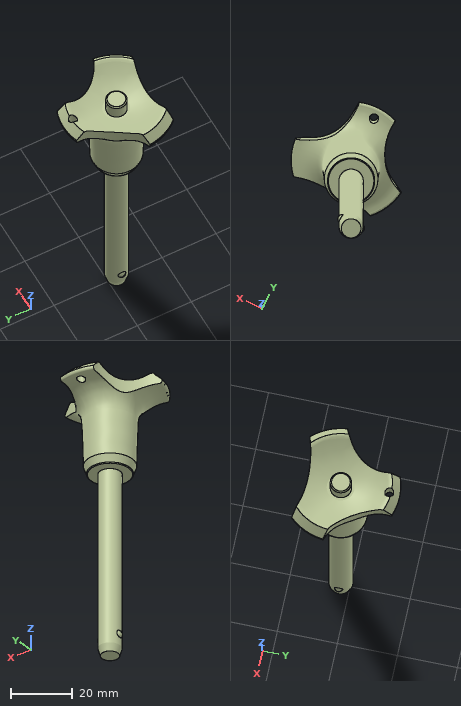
import cadquery as cq
import math

TOTAL_LENGTH = 101.5

HANDLE_RADIUS = 19.58
HANDLE_DEPTH_Y = 33.0
RIM_TOP_RADIUS = 16.8
RIM_CHAMFER_HEIGHT = 2.75
RIM_BOTTOM_Z = -4.3
RIM_ROUND_RADIUS = 0.85

DISH_RADIUS = 25.0
DISH_EDGE_RADIUS = 15.2
DISH_FLOOR_RADIUS = 4.55

NECK_RADIUS = 9.25
NECK_Z = -13.5
BODY_LOW_RADIUS = 8.75
BODY_LOW_Z = -30.0
NOSE_RADIUS = 7.7
BODY_BOTTOM_Z = -33.1
NOSE_EDGE_BREAK = 0.3

TOP_LOBE_HALF_ANGLE = 19.9
SIDE_LOBE_UPPER_ANGLE = -5.6
WAIST_RADIUS = 11.1

LANYARD_HOLE_DIAMETER = 2.9
LANYARD_HOLE_Y = 16.1

BUTTON_RADIUS = 3.5
BUTTON_CHAMFER = 0.45

SHANK_RADIUS = 4.0
TIP_RADIUS = 3.2
TIP_LENGTH = 2.7
BALL_RADIUS = 1.5
BALL_SPAN = 9.5
BALL_HEIGHT = 6.9


def polar(radius, degrees):
    angle = math.radians(degrees)
    return (radius * math.cos(angle), radius * math.sin(angle))


def make_handle():
    """Revolved handle: body, flared underside, rim and spherical dish."""
    edge_slope = math.asin(DISH_EDGE_RADIUS / DISH_RADIUS)
    blend_radius = (RIM_TOP_RADIUS - DISH_EDGE_RADIUS) / math.sin(edge_slope)
    dish_edge_z = -blend_radius * (1 - math.cos(edge_slope))
    blend_mid = (
        RIM_TOP_RADIUS - blend_radius * math.sin(edge_slope / 2),
        -blend_radius * (1 - math.cos(edge_slope / 2)),
    )
    dish_center_z = dish_edge_z + DISH_RADIUS * math.cos(edge_slope)

    def dish_point(radius):
        return (radius, dish_center_z - math.sqrt(DISH_RADIUS**2 - radius**2))

    floor_edge = dish_point(DISH_FLOOR_RADIUS)
    dish_mid = dish_point((DISH_FLOOR_RADIUS + DISH_EDGE_RADIUS) / 2)

    flare_radius = RIM_BOTTOM_Z - NECK_Z
    flare_offset = flare_radius * math.sqrt(0.5)
    flare_mid = (NECK_RADIUS + flare_radius - flare_offset, NECK_Z + flare_offset)

    round_inset = RIM_ROUND_RADIUS * (1 - math.sqrt(0.5))
    round_mid = (HANDLE_RADIUS - round_inset, RIM_BOTTOM_Z + round_inset)

    profile = (
        cq.Workplane("XZ")
        .moveTo(0, BODY_BOTTOM_Z)
        .lineTo(NOSE_RADIUS - NOSE_EDGE_BREAK, BODY_BOTTOM_Z)
        .lineTo(NOSE_RADIUS, BODY_BOTTOM_Z + NOSE_EDGE_BREAK)
        .lineTo(BODY_LOW_RADIUS, BODY_LOW_Z)
        .lineTo(NECK_RADIUS, NECK_Z)
        .threePointArc(flare_mid, (NECK_RADIUS + flare_radius, RIM_BOTTOM_Z))
        .lineTo(HANDLE_RADIUS - RIM_ROUND_RADIUS, RIM_BOTTOM_Z)
        .threePointArc(round_mid, (HANDLE_RADIUS, RIM_BOTTOM_Z + RIM_ROUND_RADIUS))
        .lineTo(HANDLE_RADIUS, -RIM_CHAMFER_HEIGHT)
        .lineTo(RIM_TOP_RADIUS, 0)
        .threePointArc(blend_mid, (DISH_EDGE_RADIUS, dish_edge_z))
        .threePointArc(dish_mid, floor_edge)
        .lineTo(0, floor_edge[1])
        .close()
    )
    return profile.revolve(360, (0, 0, 0), (0, 1, 0))


def make_scallop(middle_angle, half_angle):
    """Vertical cylinder segment that parts two lobes.

    Its arc runs through both lobe corners and touches the waist circle midway.
    """
    half_chord = HANDLE_RADIUS * math.sin(math.radians(half_angle))
    chord_distance = HANDLE_RADIUS * math.cos(math.radians(half_angle))
    sag = chord_distance - WAIST_RADIUS
    arc_radius = (half_chord**2 + sag**2) / (2 * sag)
    center = polar(WAIST_RADIUS + arc_radius, middle_angle)
    return (
        cq.Workplane("XY", origin=(0, 0, NECK_Z))
        .center(*center)
        .circle(arc_radius)
        .extrude(-NECK_Z)
    )


def make_button():
    button = cq.Workplane("XY").circle(BUTTON_RADIUS).extrude(NECK_Z)
    return button.faces(">Z").chamfer(BUTTON_CHAMFER)


def make_shank():
    """Cylindrical pin with a tapered tip and two locking balls on the X axis."""
    tip_z = -TOTAL_LENGTH
    profile = (
        cq.Workplane("XZ")
        .moveTo(0, tip_z)
        .lineTo(TIP_RADIUS, tip_z)
        .lineTo(SHANK_RADIUS, tip_z + TIP_LENGTH)
        .lineTo(SHANK_RADIUS, NECK_Z)
        .lineTo(0, NECK_Z)
        .close()
    )
    shank = profile.revolve(360, (0, 0, 0), (0, 1, 0))
    ball_x = BALL_SPAN / 2 - BALL_RADIUS
    for side in (-1, 1):
        ball = cq.Workplane("XY").sphere(BALL_RADIUS)
        shank = shank.union(ball.translate((side * ball_x, 0, tip_z + BALL_HEIGHT)))
    return shank


def make_scallops():
    """One shallow scallop facing -Y and a mirrored pair beside the +Y lobe."""
    lower_corner_y = HANDLE_RADIUS - HANDLE_DEPTH_Y
    lower_half_angle = math.degrees(math.acos(-lower_corner_y / HANDLE_RADIUS))
    scallops = [make_scallop(-90, lower_half_angle)]

    top_lobe_corner = 90 - TOP_LOBE_HALF_ANGLE
    side_middle = (top_lobe_corner + SIDE_LOBE_UPPER_ANGLE) / 2
    side_half_angle = (top_lobe_corner - SIDE_LOBE_UPPER_ANGLE) / 2
    for middle_angle in (side_middle, 180 - side_middle):
        scallops.append(make_scallop(middle_angle, side_half_angle))
    return scallops


handle = make_handle()
for scallop in make_scallops():
    handle = handle.cut(scallop)

lanyard_hole = (
    cq.Workplane("XY")
    .center(0, LANYARD_HOLE_Y)
    .circle(LANYARD_HOLE_DIAMETER / 2)
    .extrude(NECK_Z)
)
handle = handle.cut(lanyard_hole)

result = handle.union(make_button()).union(make_shank())